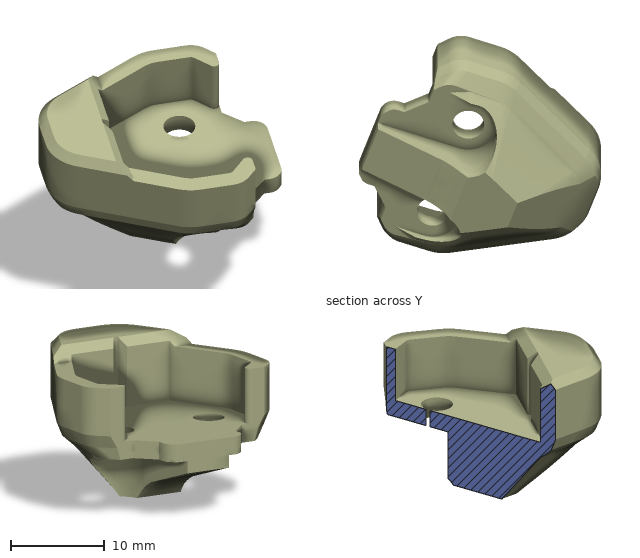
import cadquery as cq
import math

AXIS_ANGLE = 48.0

TOP_Z = 15.5
RIM_Z = 14.0
FLOOR_Z = 8.0
BEVEL_TOP_Z = 8.78
BEVEL_BOTTOM_Z = 7.4
SCREW_SEAT_Z = 6.05

FRONT_X = -16.2
FRONT_CORNER_Y = 4.34
HALF_WIDTH = 11.57
SIDE_FRONT_X = -2.8
SIDE_REAR_X = 3.15
REAR_X = 12.0
REAR_CORNER_Y = 1.7
FRONT_RADIUS = 4.75
SIDE_RADIUS = 5.0
REAR_SIDE_RADIUS = 2.6
REAR_RADIUS = 1.2
BEVEL_INSET = 0.55

WALL = 1.95
INNER_SIDE_FRONT_RADIUS = SIDE_RADIUS - WALL
INNER_SIDE_REAR_RADIUS = REAR_SIDE_RADIUS - WALL
ARM_END_X = 4.9
ARM_TIP_RADIUS = 0.55
TAB_END_X = 9.11
TAB_HALF_WIDTH = 4.8
TAB_RADIUS = 1.55
NOTCH_HALF_WIDTH = 6.82

CAP_EDGE_X = -9.72
CAP_CHAMFER = 0.9
POCKET_FRONT_X = -8.77
RELIEF_HALF_WIDTH = 0.85
RELIEF_TIP_HALF_WIDTH = 0.28

HOLE_DIAMETER = 3.4
HOLE_SPACING = 11.28
HEAD_CLEARANCE_DIAMETER = 6.08

FOOT_FRONT_X = -7.02
FACET_TOP_X = -15.85
FACET_TOP_Z = 8.1
FOOT_REAR_X = -0.95
UNDERSIDE_BEND_X = 1.75
UNDERSIDE_BEND_Z = 2.27
UNDERSIDE_END_Z = 4.7
UNDERSIDE_NECK_X = 0.0
UNDERSIDE_NECK_Z = 1.1

MARGIN = 10.0


def mirrored(half):
    """Close a half outline (Y > 0, front to rear) with its mirror image across the X axis."""
    return half + [(x, -y, radius) for x, y, radius in reversed(half)]


def unit(start, end):
    """Unit vector from start towards end."""
    length = math.hypot(end[0] - start[0], end[1] - start[1])
    return ((end[0] - start[0]) / length, (end[1] - start[1]) / length)


def inset(corners, distance):
    """Move every side of a clockwise outline inwards by the distance."""
    moved = []
    for i, (x, y, radius) in enumerate(corners):
        before = unit(corners[i - 1], (x, y))
        after = unit((x, y), corners[(i + 1) % len(corners)])
        scale = distance / (1 + before[0] * after[0] + before[1] * after[1])
        new_x = x + scale * (before[1] + after[1])
        new_y = y - scale * (before[0] + after[0])
        moved.append((new_x, new_y, radius - distance))
    return moved


def rounded_wire(corners, z):
    """Closed wire of straight sides joined by tangent arcs; corners are (x, y, radius)."""
    rounds = []
    for i, (x, y, radius) in enumerate(corners):
        back = unit((x, y), corners[i - 1])
        ahead = unit((x, y), corners[(i + 1) % len(corners)])
        half_angle = math.acos(back[0] * ahead[0] + back[1] * ahead[1]) / 2
        tangent = radius / math.tan(half_angle)
        to_middle = radius / math.sin(half_angle) - radius
        inward = unit((0, 0), (back[0] + ahead[0], back[1] + ahead[1]))
        start = cq.Vector(x + tangent * back[0], y + tangent * back[1], z)
        middle = cq.Vector(x + to_middle * inward[0], y + to_middle * inward[1], z)
        end = cq.Vector(x + tangent * ahead[0], y + tangent * ahead[1], z)
        rounds.append((start, middle, end))
    edges = []
    for i, (start, middle, end) in enumerate(rounds):
        edges.append(cq.Edge.makeThreePointArc(start, middle, end))
        edges.append(cq.Edge.makeLine(end, rounds[(i + 1) % len(rounds)][0]))
    return cq.Wire.assembleEdges(edges)


def prism(corners, bottom, top):
    """Upright solid on a rounded outline."""
    wire = rounded_wire(corners, bottom)
    return cq.Workplane(cq.Solid.extrudeLinear(wire, [], cq.Vector(0, 0, top - bottom)))


def ruled(lower, lower_z, upper, upper_z):
    """Straight-sided solid between two rounded outlines."""
    wires = [rounded_wire(lower, lower_z), rounded_wire(upper, upper_z)]
    return cq.Workplane(cq.Solid.makeLoft(wires, True))


def side_profile(points):
    """Extrude an XZ polygon across the whole width."""
    return cq.Workplane("XZ").polyline(points).close().extrude(HALF_WIDTH + MARGIN, both=True)


OUTER = mirrored([
    (FRONT_X, FRONT_CORNER_Y, FRONT_RADIUS),
    (SIDE_FRONT_X, HALF_WIDTH, SIDE_RADIUS),
    (SIDE_REAR_X, HALF_WIDTH, REAR_SIDE_RADIUS),
    (REAR_X, REAR_CORNER_Y, REAR_RADIUS),
])
BEVELED = inset(OUTER, BEVEL_INSET)
SEAT_SIDE_FRONT = [
    (-14.0, 3.1, 3.0),
    (-2.9, 9.3, 3.0),
]
BEVELED_SEAT = mirrored(SEAT_SIDE_FRONT + [
    (3.7, 9.7, 2.0),
    (REAR_X, 0.6, 0.4),
])
FOOT_SHOULDER = mirrored(SEAT_SIDE_FRONT + [
    (1.2, 9.5, 1.2),
    (REAR_X, 5.0, 1.0),
])
FOOT_BASE = mirrored([
    (-8.0, 1.05, 0.8),
    (-3.5, 3.45, 0.8),
    (-0.7, 4.8, 0.3),
    (-0.5, 2.0, 0.3),
])


def upper_body():
    """Solid block with a bevelled bottom and a chamfered cap, cut down to the rim behind the cap."""
    chamfer_z = TOP_Z - CAP_CHAMFER
    walls = prism(OUTER, BEVEL_TOP_Z, chamfer_z)
    cap = ruled(OUTER, chamfer_z, inset(OUTER, CAP_CHAMFER), TOP_Z)
    bevel = ruled(BEVELED, BEVEL_BOTTOM_Z, OUTER, BEVEL_TOP_Z)
    ramp_end_x = CAP_EDGE_X + TOP_Z - RIM_Z
    above_rim = side_profile([
        (CAP_EDGE_X, TOP_Z),
        (ramp_end_x, RIM_Z),
        (REAR_X + MARGIN, RIM_Z),
        (REAR_X + MARGIN, TOP_Z + MARGIN),
        (CAP_EDGE_X, TOP_Z + MARGIN),
    ])
    return walls.union(cap).union(bevel).cut(above_rim)


def foot():
    """Tapered foot, from the bevelled outline through the screw seat level to the small base."""
    upper = ruled(BEVELED_SEAT, SCREW_SEAT_Z, BEVELED, BEVEL_BOTTOM_Z)
    lower = ruled(FOOT_BASE, 0, FOOT_SHOULDER, SCREW_SEAT_Z)
    return upper.union(lower)


def front_facet_cut():
    """Everything in front of the sloping flat that runs from the bevel down to the base."""
    slope = (FACET_TOP_X - FOOT_FRONT_X) / FACET_TOP_Z
    high_z = BEVEL_TOP_Z
    return side_profile([
        (FOOT_FRONT_X, 0),
        (FOOT_FRONT_X + slope * high_z, high_z),
        (FRONT_X - MARGIN, high_z),
        (FRONT_X - MARGIN, -MARGIN),
        (FOOT_FRONT_X, -MARGIN),
    ])


def underside_cut():
    """Everything below the sloping rear underside and the curved neck that joins it to the base."""
    slope = (UNDERSIDE_END_Z - UNDERSIDE_BEND_Z) / (TAB_END_X - UNDERSIDE_BEND_X)
    far_x = REAR_X + MARGIN
    far_z = UNDERSIDE_BEND_Z + slope * (far_x - UNDERSIDE_BEND_X)
    return (
        cq.Workplane("XZ")
        .moveTo(FOOT_REAR_X, 0)
        .threePointArc((UNDERSIDE_NECK_X, UNDERSIDE_NECK_Z), (UNDERSIDE_BEND_X, UNDERSIDE_BEND_Z))
        .lineTo(far_x, far_z)
        .lineTo(far_x, -MARGIN)
        .lineTo(FOOT_REAR_X, -MARGIN)
        .close()
        .extrude(HALF_WIDTH + MARGIN, both=True)
    )


def plan_limit():
    """Plan shape that ends the arms squarely and leaves the rounded tab between them."""
    tab_root_x = ARM_END_X + NOTCH_HALF_WIDTH - TAB_HALF_WIDTH
    wide = HALF_WIDTH + MARGIN
    half = [
        (FRONT_X - MARGIN, wide),
        (ARM_END_X, wide),
        (ARM_END_X, NOTCH_HALF_WIDTH),
        (tab_root_x, TAB_HALF_WIDTH),
        (TAB_END_X, TAB_HALF_WIDTH),
    ]
    outline = half + [(x, -y) for x, y in reversed(half)]
    limit = cq.Workplane("XY").polyline(outline).close().extrude(TOP_Z)
    return limit.edges("|Z").edges(">X").fillet(TAB_RADIUS)


def pocket_cut():
    """Space above the floor: bounded by the front and side walls, open at the rear."""
    inner = inset(OUTER, WALL)
    front, side_front, side_rear, rear = inner[:4]
    side_slope = (side_front[1] - front[1]) / (side_front[0] - front[0])
    front_y = front[1] + side_slope * (POCKET_FRONT_X - front[0])
    rear_slope = (rear[1] - side_rear[1]) / (rear[0] - side_rear[0])
    tip_y = side_rear[1] + rear_slope * (ARM_END_X - side_rear[0])
    half = [
        (POCKET_FRONT_X, front_y),
        side_front[:2],
        side_rear[:2],
        (ARM_END_X, tip_y),
        (ARM_END_X, HALF_WIDTH + MARGIN),
        (REAR_X + MARGIN, HALF_WIDTH + MARGIN),
    ]
    outline = half + [(x, -y) for x, y in reversed(half)]
    pocket = (
        cq.Workplane("XY").workplane(offset=FLOOR_Z).polyline(outline).close().extrude(TOP_Z)
    )
    rounded_corners = [
        (side_front[0], side_front[1], INNER_SIDE_FRONT_RADIUS),
        (side_rear[0], side_rear[1], INNER_SIDE_REAR_RADIUS),
        (ARM_END_X, tip_y, ARM_TIP_RADIUS),
    ]
    for x, y, radius in rounded_corners:
        for side in (1, -1):
            point = (x, side * y, FLOOR_Z + TOP_Z / 2)
            pocket = pocket.edges(cq.selectors.NearestToPointSelector(point)).fillet(radius)
    return pocket


def relief_cut():
    """Small tapered notch in the middle of the pocket's front wall."""
    return (
        cq.Workplane("XY")
        .workplane(offset=FLOOR_Z)
        .polyline([
            (POCKET_FRONT_X, RELIEF_HALF_WIDTH),
            (POCKET_FRONT_X, -RELIEF_HALF_WIDTH),
            (CAP_EDGE_X, -RELIEF_TIP_HALF_WIDTH),
            (CAP_EDGE_X, RELIEF_TIP_HALF_WIDTH),
        ])
        .close()
        .extrude(TOP_Z)
    )


def screw_cut(y):
    """Screw hole with a head clearance below it that runs out through the rear."""
    hole = cq.Workplane("XY").center(0, y).circle(HOLE_DIAMETER / 2).extrude(TOP_Z)
    head = cq.Workplane("XY").center(0, y).circle(HEAD_CLEARANCE_DIAMETER / 2).extrude(SCREW_SEAT_Z)
    run_out = (
        cq.Workplane("XY")
        .center(0, y)
        .rect(REAR_X + MARGIN, HEAD_CLEARANCE_DIAMETER)
        .extrude(SCREW_SEAT_Z)
        .translate(((REAR_X + MARGIN) / 2, 0, 0))
    )
    return hole.union(head.union(run_out))


body = upper_body().union(foot())
body = body.cut(front_facet_cut()).cut(underside_cut())
body = body.intersect(plan_limit()).cut(pocket_cut()).cut(relief_cut())
for hole_y in (HOLE_SPACING / 2, -HOLE_SPACING / 2):
    body = body.cut(screw_cut(hole_y))

result = body.rotate((0, 0, 0), (0, 0, 1), AXIS_ANGLE)